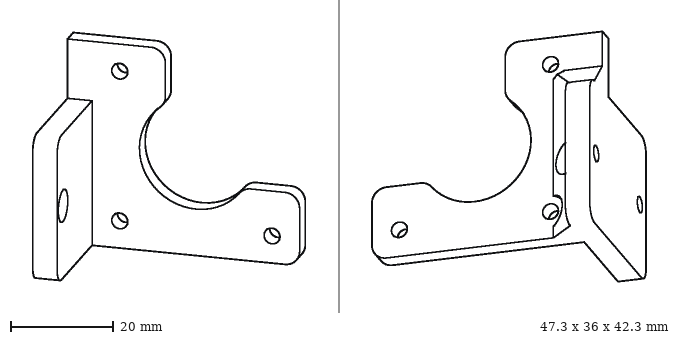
import cadquery as cq

plate_width = 47.3
plate_height = 42.3
plate_thickness = 4.0
corner_radius = 3.0
opening_diameter = 23.0
opening_z = plate_height / 2
opening_x = plate_width - plate_height / 2
arm_offset = 6.2
screw_offset = 15.5

wall_thickness = 5.0
wall_depth = 36.0
wall_height = 30.0
wall_hole_inset = 4.0
wall_middle_z = wall_height / 2

hole_diameter = 3.2
head_diameter = 6.5
counterbore_depth = 3.5

plate_front = 24.0
plate_back = plate_front + plate_thickness
gusset_end = wall_depth - corner_radius
gusset_size = gusset_end - plate_back


def cylinder_along_y(x, z, diameter, start, length):
    plane = cq.Plane(origin=(x, start, z), xDir=(1, 0, 0), normal=(0, 1, 0))
    return cq.Workplane(plane).circle(diameter / 2).extrude(length)


def cylinder_along_x(y, z, diameter, start, length):
    plane = cq.Plane(origin=(start, y, z), xDir=(0, 1, 0), normal=(1, 0, 0))
    return cq.Workplane(plane).circle(diameter / 2).extrude(length)


def make_plate():
    blank = cq.Workplane("XY").box(plate_width, plate_thickness, plate_height, centered=False)
    blank = blank.translate((0, plate_front, 0))
    quarter = cq.Workplane("XY").box(plate_width, plate_thickness, plate_height, centered=False)
    quarter = quarter.translate((opening_x - arm_offset, plate_front, opening_z - arm_offset))
    opening = cylinder_along_y(opening_x, opening_z, opening_diameter, plate_front, plate_thickness)
    blank = blank.cut(quarter).cut(opening)
    return blank.edges("|Y").edges(cq.selectors.BoxSelector(
        (wall_thickness, 0, -0.45), (plate_width + 0.45, wall_depth, plate_height + 0.45)
    )).fillet(corner_radius)


def make_wall():
    wall = cq.Workplane("XY").box(wall_thickness, wall_depth, wall_height, centered=False)
    return wall.edges("|X").fillet(corner_radius)


def make_gusset():
    """Corner brace, tapering at 45 degrees towards the wall and at its top."""
    brace = (
        cq.Workplane("XY")
        .moveTo(0, plate_back)
        .lineTo(wall_thickness + gusset_size, plate_back)
        .lineTo(wall_thickness, gusset_end)
        .lineTo(0, gusset_end)
        .close()
        .extrude(wall_height + gusset_size)
    )
    side_profile = (
        cq.Workplane("YZ")
        .moveTo(plate_back, 0)
        .lineTo(gusset_end, 0)
        .lineTo(gusset_end, wall_height)
        .lineTo(plate_back, wall_height + gusset_size)
        .close()
        .extrude(wall_thickness + gusset_size)
    )
    return brace.intersect(side_profile)


body = make_plate().union(make_wall()).union(make_gusset())

left_x = opening_x - screw_offset
right_x = opening_x + screw_offset
low_z = opening_z - screw_offset
high_z = opening_z + screw_offset
for x, z in [(left_x, low_z), (left_x, high_z), (right_x, low_z)]:
    body = body.cut(cylinder_along_y(x, z, hole_diameter, plate_front, plate_thickness))
    body = body.cut(cylinder_along_y(x, z, head_diameter, plate_back, gusset_size))

front_y = wall_hole_inset
rear_y = wall_depth - wall_hole_inset
for y, seat_x in [(front_y, wall_thickness - counterbore_depth), (rear_y, wall_thickness)]:
    body = body.cut(cylinder_along_x(y, wall_middle_z, hole_diameter, 0, wall_thickness))
    seat_length = wall_thickness + gusset_size - seat_x
    body = body.cut(cylinder_along_x(y, wall_middle_z, head_diameter, seat_x, seat_length))

result = body